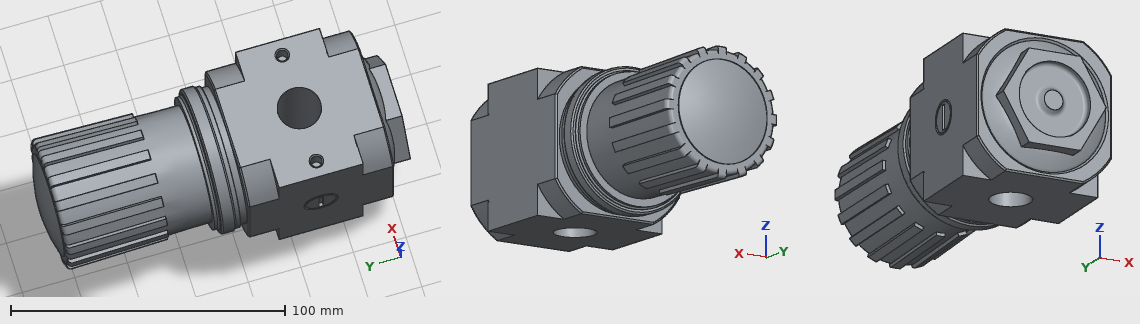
import cadquery as cq
import math

overall_length = 135.0

block_size = 55.0
block_front = 8.2
block_back = 63.7
port_y = (block_front + block_back) / 2
rim_radial = 0.5
rim_axial = 0.7
corner_diameter = 63.5
corner_length = 11.7

port_diameter = 16.0
fixing_diameter = 4.2
fixing_mouth_diameter = 5.3
fixing_spacing = 42.9
fixing_depth = 6.8

collar_diameter = 52.0
collar_end = 66.4
flange_diameter = 53.5
flange_end = 68.2
ring_diameter = 54.8
ring_front = 68.8
ring_back = 73.2
ring_end = 73.7
ring_seat_diameter = 51.6
ring_seat_end = 74.0
sleeve_diameter = 50.2
sleeve_cone_start = 74.7
sleeve_end = 75.9

groove_diameter = 52.0
groove_floor_diameter = 50.4
groove_depth = 0.8
cap_rim_diameter = 49.1
cap_rim_y = 8.5
dome_middle_diameter = 41.8
dome_middle_y = 6.2
dome_top_diameter = 36.3
dome_top_y = 5.0
hexagon_across_flats = 36.3
recess_diameter = 29.0
recess_depth = 3.1
recess_fillet = 1.4
pin_base_diameter = 12.5
pin_diameter = 9.6
pin_top_diameter = 7.5
pin_base_rise = 0.74
pin_cone_height = 1.4

plug_diameter = 12.3
plug_mouth_diameter = 13.1
plug_edge_chamfer = 0.4
plug_length = 8.1
slot_length = 9.6
slot_width = 1.6
slot_depth = 1.4

neck_diameter = 44.3
grip_end = 131.1
grip_end_diameter = 46.3
grip_fillet = 1.5
dome_diameter = 39.0
dome_rim_y = 131.5
rib_count = 16
rib_width = 3.6
rib_start = 93.0
rib_start_diameter = 47.7
rib_end_diameter = 49.3


def revolve_about_y(profile):
    """Turn a closed (radius, y) profile, drawn in the XY plane, about the Y axis."""
    return profile.close().revolve(360, (0, 0, 0), (0, 1, 0))


def cylinder_along_y(diameter, start, end):
    return cq.Workplane("XZ", origin=(0, start, 0)).circle(diameter / 2).extrude(start - end)


def make_block():
    """Square block whose four long edges are rounded off at both ends, with bevelled end rims."""
    length = block_back - block_front
    square = cq.Workplane("XY").box(block_size, length, block_size).translate((0, port_y, 0))
    turned = cylinder_along_y(corner_diameter, block_front, block_back)
    rounded = square.intersect(turned).faces("<Y or >Y").chamfer(rim_axial, rim_radial)
    middle = cq.Workplane("XY").box(block_size, length - 2 * corner_length, block_size)
    return rounded.union(middle.translate((0, port_y, 0)))


def make_collar():
    """Stepped collar and ring nut between the block and the knob."""
    profile = (
        cq.Workplane("XY")
        .moveTo(0, port_y)
        .lineTo(collar_diameter / 2, port_y)
        .lineTo(collar_diameter / 2, collar_end)
        .lineTo(flange_diameter / 2, collar_end)
        .lineTo(flange_diameter / 2, flange_end)
        .lineTo(ring_diameter / 2, ring_front)
        .lineTo(ring_diameter / 2, ring_back)
        .lineTo(flange_diameter / 2, ring_end)
        .lineTo(ring_seat_diameter / 2, ring_end)
        .lineTo(ring_seat_diameter / 2, ring_seat_end)
        .lineTo(sleeve_diameter / 2, sleeve_cone_start)
        .lineTo(sleeve_diameter / 2, sleeve_end)
        .lineTo(0, sleeve_end)
    )
    return revolve_about_y(profile)


def make_cap():
    """Cap dome carrying a hexagon with a round recess and a central pin."""
    groove_floor = block_front + groove_depth
    dome_profile = (
        cq.Workplane("XY")
        .moveTo(0, port_y)
        .lineTo(groove_floor_diameter / 2, port_y)
        .lineTo(groove_floor_diameter / 2, groove_floor)
        .lineTo(cap_rim_diameter / 2, cap_rim_y)
        .threePointArc((dome_middle_diameter / 2, dome_middle_y), (dome_top_diameter / 2, dome_top_y))
        .lineTo(0, dome_top_y)
    )
    across_corners = hexagon_across_flats / math.cos(math.pi / 6)
    hexagon = cq.Workplane("XZ").polygon(6, across_corners).extrude(-block_front)
    recess = cylinder_along_y(recess_diameter, 0, recess_depth).faces(">Y").edges().fillet(recess_fillet)
    pin_shoulder = recess_depth - pin_base_rise
    pin_top = pin_shoulder - pin_cone_height
    flare_width = (pin_base_diameter - pin_diameter) / 2
    flare_radius = (flare_width**2 + pin_base_rise**2) / (2 * pin_base_rise)
    pin_profile = (
        cq.Workplane("XY")
        .moveTo(0, recess_depth)
        .lineTo(pin_base_diameter / 2, recess_depth)
        .radiusArc((pin_diameter / 2, pin_shoulder), -flare_radius)
        .lineTo(pin_top_diameter / 2, pin_top)
        .lineTo(0, pin_top)
    )
    return revolve_about_y(dome_profile).union(hexagon).cut(recess).union(revolve_about_y(pin_profile))


def make_cap_groove():
    """Conical mouth around the cap in the front face of the block."""
    profile = (
        cq.Workplane("XY")
        .moveTo(0, block_front)
        .lineTo(groove_diameter / 2, block_front)
        .lineTo(groove_floor_diameter / 2, block_front + groove_depth)
        .lineTo(0, block_front + groove_depth)
    )
    return revolve_about_y(profile)


def make_port():
    return cq.Workplane("XY").center(0, port_y).circle(port_diameter / 2).extrude(block_size, both=True)


def make_fixing_hole(x):
    """Blind hole with a bevelled mouth in the top face."""
    mouth_bevel = (fixing_mouth_diameter - fixing_diameter) / 2
    top = cq.Workplane("XY", origin=(x, port_y, block_size / 2))
    bevel = top.circle(fixing_mouth_diameter / 2).workplane(offset=-mouth_bevel)
    bevel = bevel.circle(fixing_diameter / 2).loft()
    return top.circle(fixing_diameter / 2).extrude(-fixing_depth).union(bevel)


def make_plug_hole():
    """Blind hole with a bevelled mouth that holds the screw plug."""
    mouth_bevel = (plug_mouth_diameter - plug_diameter) / 2
    side = cq.Workplane("YZ", origin=(-block_size / 2, port_y, 0))
    bevel = side.circle(plug_mouth_diameter / 2).workplane(offset=mouth_bevel)
    bevel = bevel.circle(plug_diameter / 2).loft()
    return side.circle(plug_diameter / 2).extrude(plug_length).union(bevel)


def make_housing():
    body = make_block().cut(make_cap_groove()).union(make_collar()).union(make_cap())
    body = body.cut(make_port()).cut(make_plug_hole())
    for side in (-1, 1):
        body = body.cut(make_fixing_hole(side * fixing_spacing / 2))
    return body


def make_plug():
    """Screw plug, flush with the -X face, with a screwdriver slot along Z."""
    side = cq.Workplane("YZ", origin=(-block_size / 2, port_y, 0))
    plug = side.circle(plug_diameter / 2).extrude(plug_length)
    plug = plug.faces("<X").chamfer(plug_edge_chamfer)
    return plug.cut(side.rect(slot_width, slot_length).extrude(slot_depth))


def make_grip_core():
    """Tapered neck and grip in one cone, and the domed end of the knob."""
    profile = (
        cq.Workplane("XY")
        .moveTo(0, sleeve_end)
        .lineTo(neck_diameter / 2, sleeve_end)
        .lineTo(grip_end_diameter / 2, grip_end - grip_fillet)
        .radiusArc((grip_end_diameter / 2 - grip_fillet, grip_end), -grip_fillet)
        .lineTo(dome_diameter / 2, grip_end)
        .lineTo(dome_diameter / 2, dome_rim_y)
    )
    dome_rise = overall_length - dome_rim_y
    dome_radius = ((dome_diameter / 2) ** 2 + dome_rise ** 2) / (2 * dome_rise)
    return revolve_about_y(profile.radiusArc((0, overall_length), -dome_radius))


def make_rib_envelope():
    """Tapered solid of revolution that limits the outer faces of the ribs."""
    profile = (
        cq.Workplane("XY")
        .moveTo(0, rib_start)
        .lineTo(rib_start_diameter / 2, rib_start)
        .lineTo(rib_end_diameter / 2, grip_end - grip_fillet)
        .radiusArc((rib_end_diameter / 2 - grip_fillet, grip_end), -grip_fillet)
        .lineTo(0, grip_end)
    )
    return revolve_about_y(profile)


def make_knob():
    rib_length = grip_end - rib_start
    blade = cq.Workplane("XY").box(rib_end_diameter, rib_length, rib_width)
    blade = blade.translate((0, rib_start + rib_length / 2, 0))
    blades = blade
    for index in range(1, rib_count // 2):
        blades = blades.union(blade.rotate((0, 0, 0), (0, 1, 0), index * 360 / rib_count))
    return make_grip_core().union(blades.intersect(make_rib_envelope()))


housing = make_housing()
knob = make_knob()
plug = make_plug()

result = cq.Compound.makeCompound([housing.val(), knob.val(), plug.val()])